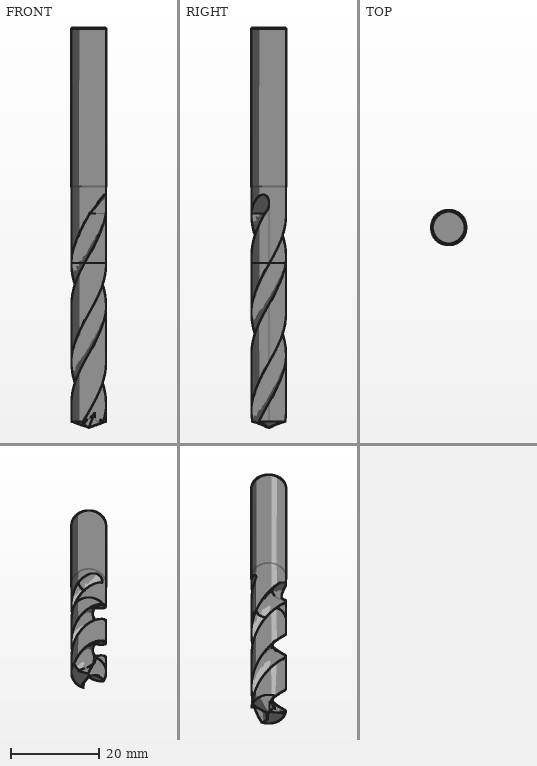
import cadquery as cq
import math

total_length = 91.0
shank_radius = 4.0
shank_start = 55.0
shank_chamfer = 0.4
step_chamfer = 0.3
cutting_diameter = 7.9
cutting_length = 37.4
point_angle = 140.0

flute_count = 2
flute_lead = 44.7
flute_end = 48.7
flute_end_direction = -50.0
flute_radius = 2.4
flute_core_radius = 0.9
flute_overrun = 1.8
runout_outward = 0.5
runout_sideways = 0.75
runout_height = 9.1

gash_valley_start = cq.Vector(0, -0.3, 0.1)
gash_valley_end = cq.Vector(1.5, -0.4, 3.55)
gash_right_corner = cq.Vector(2.9, -1.3, 1.6)
gash_left_corner = cq.Vector(-0.8, -1.55, 1.5)
gash_face_scale = 2.5

cutting_radius = cutting_diameter / 2
flute_centre = flute_core_radius + flute_radius
point_height = cutting_radius / math.tan(math.radians(point_angle / 2))


def make_flute():
    """Helical groove with a straight runout, leaning outward, at its upper end."""
    helix_length = flute_end + flute_overrun
    twist = 360 * helix_length / flute_lead
    helix = (
        cq.Workplane("XY")
        .pushPoints([(flute_centre, 0)])
        .circle(flute_radius)
        .twistExtrude(helix_length, twist)
        .rotate((0, 0, 0), (0, 0, 1), flute_end_direction - twist)
        .translate((0, 0, -flute_overrun))
    )
    slope = cq.Vector(runout_outward, runout_sideways, 1)
    end_centre = cq.Vector(flute_centre, 0, flute_end)
    end_profile = cq.Wire.makeCircle(flute_radius, end_centre, cq.Vector(0, 0, 1))
    runout = cq.Workplane(cq.Solid.extrudeLinear(end_profile, [], slope * runout_height))
    runout = runout.rotate((0, 0, 0), (0, 0, 1), flute_end_direction)
    return [helix, runout]


def make_gash():
    """V-groove cutter: a triangle extruded along the valley line."""
    valley = gash_valley_end - gash_valley_start
    right_edge = (gash_right_corner - gash_valley_end) * gash_face_scale
    left_edge = (gash_left_corner - gash_valley_end) * gash_face_scale
    start = gash_valley_start - valley
    profile = cq.Wire.makePolygon([start, start + right_edge, start + left_edge], close=True)
    return cq.Workplane(cq.Solid.extrudeLinear(profile, [], gash_valley_end - start))


def cut_at_each_flute(body, tools):
    for tool in tools:
        for index in range(flute_count):
            turn = 360 * index / flute_count
            body = body.cut(tool.rotate((0, 0, 0), (0, 0, 1), turn))
    return body


def make_cutting_part():
    blank = (
        cq.Workplane("XZ")
        .polyline([
            (0, 0),
            (cutting_radius, point_height),
            (cutting_radius, cutting_length),
            (0, cutting_length),
        ])
        .close()
        .revolve(360, (0, 0), (0, 1))
    )
    return cut_at_each_flute(blank, make_flute() + [make_gash()])


def make_shank():
    blank = (
        cq.Workplane("XZ")
        .polyline([
            (0, cutting_length),
            (cutting_radius, cutting_length),
            (cutting_radius, shank_start - step_chamfer),
            (shank_radius, shank_start),
            (shank_radius, total_length - shank_chamfer),
            (shank_radius - shank_chamfer, total_length),
            (0, total_length),
        ])
        .close()
        .revolve(360, (0, 0), (0, 1))
    )
    return cut_at_each_flute(blank, make_flute())


cutting_part = make_cutting_part()
shank = make_shank()

result = cq.Compound.makeCompound([cutting_part.val(), shank.val()])